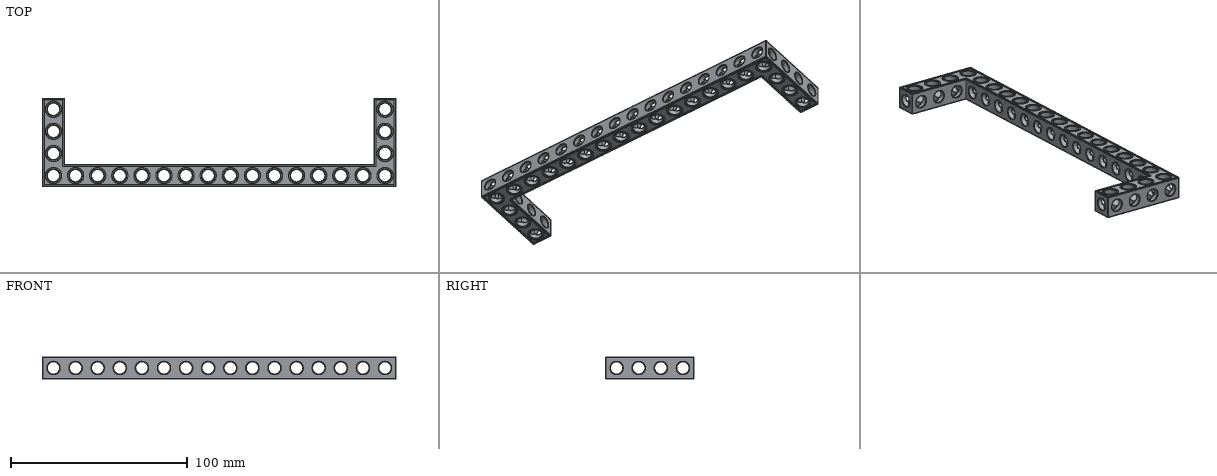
import cadquery as cq

length = 200
holes_long = 16
holes_arm = 4
hole_diameter = 7.0

panel_depth = 0.2
rim_width = 1.1
collar_diameter = 9.2

bevel = 0.3

pitch = length / holes_long
depth = holes_arm * pitch
top = pitch / 2
x_centres = [(i + 0.5) * pitch - length / 2 for i in range(holes_long)]
y_centres = [(i + 0.5) * pitch - depth / 2 for i in range(holes_arm)]
y_beam = y_centres[0]
x_arms = (x_centres[0], x_centres[-1])
beam_places = [(x, y_beam) for x in x_centres]
arm_places = [(x, y) for x in x_arms for y in y_centres[1:]]


def u_prism(inset, bottom, height):
    """U-shaped prism, open towards +Y, whose outline lies inset from the frame outline."""
    plate = (
        cq.Workplane("XY", origin=(0, 0, bottom))
        .rect(length - 2 * inset, depth - 2 * inset)
        .extrude(height)
    )
    opening = (
        cq.Workplane("XY", origin=(0, pitch, bottom))
        .rect(length - 2 * pitch + 2 * inset, depth + 2 * inset)
        .extrude(height)
    )
    return plate.cut(opening)


def panel_pocket(bottom):
    """Pocket inside the rim that leaves a collar around every vertical hole."""
    collars = (
        cq.Workplane("XY", origin=(0, 0, bottom))
        .pushPoints(beam_places + arm_places)
        .circle(collar_diameter / 2)
        .extrude(panel_depth)
    )
    return u_prism(rim_width, bottom, panel_depth).cut(collars)


def bore(span):
    """Round cutter along Z, centred on the origin and flared at both ends of its span."""
    half = span / 2
    radius = hole_diameter / 2
    mouth_radius = radius + bevel
    profile = [
        (0, -half),
        (mouth_radius, -half),
        (radius, -half + bevel),
        (radius, half - bevel),
        (mouth_radius, half),
        (0, half),
    ]
    return cq.Workplane("XZ").polyline(profile).close().revolve(360, (0, 0), (0, 1))


def drill(body, cutter, places):
    """Cut a copy of the cutter at each (x, y) place, at mid height."""
    cutters = cq.Workplane("XY").pushPoints(places).eachpoint(lambda place: cutter.val().moved(place))
    return body.cut(cutters)


def along_x(cutter):
    return cutter.rotate((0, 0, 0), (0, 1, 0), 90)


def along_y(cutter):
    return cutter.rotate((0, 0, 0), (1, 0, 0), 90)


frame = u_prism(0, -top, pitch).edges("#Z or <Y or >Y").chamfer(bevel)
for pocket_bottom in (-top, top - panel_depth):
    frame = frame.cut(panel_pocket(pocket_bottom))

cross_bore = bore(pitch)
frame = drill(frame, cross_bore, beam_places + arm_places)
frame = drill(frame, along_y(cross_bore), beam_places)
frame = drill(frame, along_x(cross_bore), arm_places)

frame = drill(frame, along_x(bore(length)), [(0, y_beam)])
frame = drill(frame, along_y(bore(depth)), [(x, 0) for x in x_arms])

result = frame